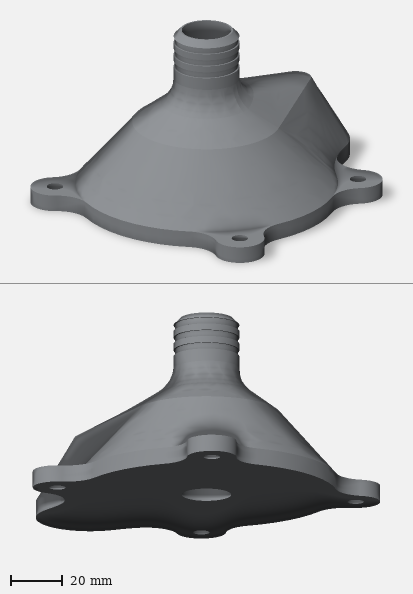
import cadquery as cq
import math

body_radius = 50.7
overall_length = 128.9
overall_width = 107.9
lobe_radius = 21.0
lobe_y = overall_length - body_radius - lobe_radius
blend_radius = 52.5

flange_height = 6.5
shoulder_height = 31.8
neck_base_height = 44.0
overall_height = 69.9

shoulder_radius = 28.6
ridge_radius = 6.0

tolerance = 0.01

ear_x = 44.5
ear_y = 38.0
ear_radius = overall_width / 2 - ear_x
ear_fillet = 12.5
ear_hole_diameter = 6.3
ear_centers = [(sx * ear_x, sy * ear_y) for sx in (-1, 1) for sy in (-1, 1)]

neck_radius = 25.4 / 2
groove_radius = 24.1 / 2
bore_diameter = 19.1
banded_length = 15.0
groove_count = 3
band_height = banded_length / (2 * groove_count)
cut_clearance = 1.3
neck_fillet = 12.5
side_split_angle = 0.5
ridge_split_angle = 77.0


def polar(radius, angle, center_y=0.0):
    """Point on a circle centred on the Y axis, angle in degrees from +X."""
    a = math.radians(angle)
    return (radius * math.cos(a), center_y + radius * math.sin(a))


def mirrored(point):
    return (-point[0], point[1])


def closed_outline(z, low, side_mid, high, front_y, back_y):
    """Four-sided symmetric outline; side_mid is None for straight sides."""
    outline = cq.Workplane("XY", origin=(0, 0, z)).moveTo(*low)
    if side_mid is None:
        outline = outline.lineTo(*high)
    else:
        outline = outline.threePointArc(side_mid, high)
    outline = outline.threePointArc((0, back_y), mirrored(high))
    if side_mid is None:
        outline = outline.lineTo(*mirrored(low))
    else:
        outline = outline.threePointArc(mirrored(side_mid), mirrored(low))
    return outline.threePointArc((0, front_y), low).close()


def flange_outline(z):
    """Body and lobe circles joined by concave arcs tangent to both."""
    to_body = body_radius + blend_radius
    to_lobe = lobe_radius + blend_radius
    center_y = (to_body**2 - to_lobe**2 + lobe_y**2) / (2 * lobe_y)
    center_x = math.sqrt(to_body**2 - center_y**2)
    body_angle = math.degrees(math.atan2(center_y, center_x))
    lobe_angle = math.degrees(math.atan2(center_y - lobe_y, center_x))
    middle_angle = math.radians(180 + (body_angle + lobe_angle) / 2)
    middle = (
        center_x + blend_radius * math.cos(middle_angle),
        center_y + blend_radius * math.sin(middle_angle),
    )
    low = polar(body_radius, body_angle)
    high = polar(lobe_radius, lobe_angle, lobe_y)
    return closed_outline(z, low, middle, high, -body_radius, lobe_y + lobe_radius)


def shoulder_outline():
    """Teardrop: the shoulder and ridge circles with their common tangents."""
    angle = math.degrees(math.asin((shoulder_radius - ridge_radius) / lobe_y))
    low = polar(shoulder_radius, angle)
    high = polar(ridge_radius, angle, lobe_y)
    return closed_outline(shoulder_height, low, None, high, -shoulder_radius, lobe_y + ridge_radius)


def neck_outline():
    """Neck circle divided to pair with the four sides of the teardrop."""
    low = polar(neck_radius, side_split_angle)
    middle = polar(neck_radius, (side_split_angle + ridge_split_angle) / 2)
    high = polar(neck_radius, ridge_split_angle)
    return closed_outline(neck_base_height, low, middle, high, -neck_radius, neck_radius)


def ruled_loft(lower, upper):
    return cq.Workplane(cq.Solid.makeLoft([lower.val(), upper.val()], True))


def make_flange():
    flange = flange_outline(0).extrude(flange_height)
    ears = cq.Workplane("XY").pushPoints(ear_centers).circle(ear_radius).extrude(flange_height)
    flange = flange.union(ears)

    def is_ear_corner(edge):
        p = edge.Center()
        offset = math.hypot(abs(p.x) - ear_x, abs(p.y) - ear_y)
        on_body_circle = abs(math.hypot(p.x, p.y) - body_radius) < tolerance
        return on_body_circle and abs(offset - ear_radius) < tolerance

    corners = flange.edges("|Z").filter(is_ear_corner)
    return flange.newObject(corners.vals()).fillet(ear_fillet)


def cut_ear_holes(part):
    for center in ear_centers:
        hole = (
            cq.Workplane("XY", origin=(*center, -cut_clearance))
            .circle(ear_hole_diameter / 2)
            .extrude(flange_height + 2 * cut_clearance)
        )
        part = part.cut(hole)
    return part


def make_dome_and_neck():
    skirt = ruled_loft(flange_outline(flange_height), shoulder_outline())
    crown = ruled_loft(shoulder_outline(), neck_outline())
    neck = neck_outline().extrude(overall_height - neck_base_height)
    dome = crown.union(neck)
    reach = neck_radius + tolerance
    root_box = cq.selectors.BoxSelector(
        (-reach, -reach, neck_base_height - tolerance),
        (reach, reach, neck_base_height + tolerance),
    )
    return dome.edges(root_box).fillet(neck_fillet).union(skirt)


def cut_neck_details(part):
    part = part.faces(">Z").edges().chamfer(band_height)
    for i in range(groove_count):
        groove_bottom = overall_height - 2 * (i + 1) * band_height
        groove = (
            cq.Workplane("XY", origin=(0, 0, groove_bottom))
            .circle(neck_radius + cut_clearance)
            .circle(groove_radius)
            .extrude(band_height)
        )
        part = part.cut(groove)
    bore = cq.Workplane("XY").circle(bore_diameter / 2).extrude(overall_height)
    return part.cut(bore)


body = make_flange().union(make_dome_and_neck())
result = cut_ear_holes(cut_neck_details(body)).solids()